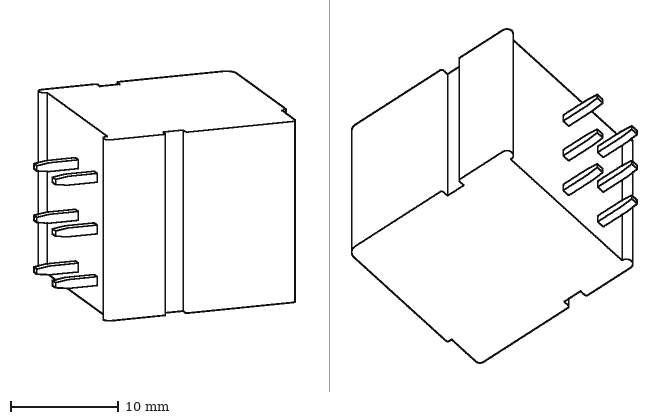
import cadquery as cq

body_width = 18.5
body_height = 17.5
total_length = 23.0

foot_tip_y = 3.52
pin_face_y = 4.15

foot_width = 1.2
foot_radius = foot_width / 2
foot_root_y = pin_face_y + foot_width

back_corner_radius = 1.0
step_x = 14.5
step_depth = 0.5
step_edge_radius = 0.2
step_corner_radius = 0.5
step_y = total_length - step_depth

groove_depth = 0.8
groove_width = 1.98
groove_start_y = 9.52
groove_end_y = groove_start_y + groove_width
groove_edge_radius = 0.2

pin_width = 0.8
pin_thickness = 0.85
pin_tip_thickness = 0.5
pin_taper_length = 1.25
pin_pitch = 5.0
pin_columns = 2
pin_rows = 3
first_pin_x = 9.18
first_pin_z = 2.8


def round_vertical_edge(body, x, y, radius):
    """Fillet the full-height edge that passes through (x, y)."""
    nearest = cq.selectors.NearestToPointSelector((x, y, body_height / 2))
    return body.edges("|Z").edges(nearest).fillet(radius)


def make_foot(left_x):
    """Full-height rail with a half-round tip below the pin face."""
    right_x = left_x + foot_width
    round_y = foot_tip_y + foot_radius
    return (
        cq.Workplane("XY")
        .moveTo(left_x, foot_root_y)
        .lineTo(left_x, round_y)
        .threePointArc((left_x + foot_radius, foot_tip_y), (right_x, round_y))
        .lineTo(right_x, foot_root_y)
        .close()
        .extrude(body_height)
    )


def make_body():
    """Housing: stepped block with grooved sides and two feet."""
    right_groove_x = body_width - groove_depth
    outline = [
        (0, pin_face_y),
        (body_width, pin_face_y),
        (body_width, groove_start_y),
        (right_groove_x, groove_start_y),
        (right_groove_x, groove_end_y),
        (body_width, groove_end_y),
        (body_width, step_y),
        (step_x, step_y),
        (step_x, total_length),
        (0, total_length),
        (0, groove_end_y),
        (groove_depth, groove_end_y),
        (groove_depth, groove_start_y),
        (0, groove_start_y),
    ]
    body = cq.Workplane("XY").polyline(outline).close().extrude(body_height)

    body = round_vertical_edge(body, 0, total_length, back_corner_radius)
    body = round_vertical_edge(body, step_x, total_length, step_edge_radius)
    body = round_vertical_edge(body, body_width, step_y, step_corner_radius)
    for side_x in (0, body_width):
        for edge_y in (groove_start_y, groove_end_y):
            body = round_vertical_edge(body, side_x, edge_y, groove_edge_radius)

    for left_x in (0, body_width - foot_width):
        body = body.union(make_foot(left_x))
    return body


def make_pin(center_x, center_z):
    """Pin from the pin face to Y = 0, thinning in Z towards its tip."""
    half = pin_thickness / 2
    half_tip = pin_tip_thickness / 2
    side_profile = [
        (pin_face_y, center_z - half),
        (pin_face_y, center_z + half),
        (pin_taper_length, center_z + half),
        (0, center_z + half_tip),
        (0, center_z - half_tip),
        (pin_taper_length, center_z - half),
    ]
    return (
        cq.Workplane("YZ", origin=(center_x - pin_width / 2, 0, 0))
        .polyline(side_profile)
        .close()
        .extrude(pin_width)
    )


result = make_body()
for column in range(pin_columns):
    for row in range(pin_rows):
        pin = make_pin(first_pin_x + column * pin_pitch, first_pin_z + row * pin_pitch)
        result = result.union(pin)